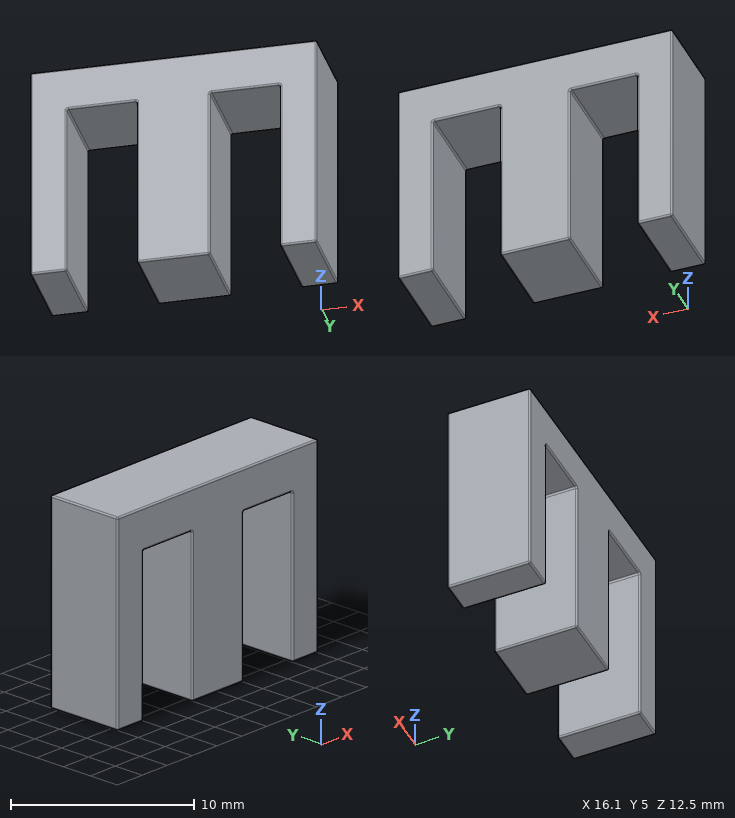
import cadquery as cq

width = 16.1
depth = 5.0
height = 12.5

outer_leg_width = 2.05
centre_leg_width = 2 * outer_leg_width
bridge_height = 2.5
edge_radius = 0.1

slot_width = (width - centre_leg_width - 2 * outer_leg_width) / 2
slot_height = height - bridge_height
slot_offset = (centre_leg_width + slot_width) / 2


def block():
    """Full block, centred in X and Y and standing on Z = 0."""
    return cq.Workplane("XY").box(width, depth, height, centered=(True, True, False))


def slot(centre_x):
    """Cutter for one slot, open at the bottom and through the full depth."""
    return (
        cq.Workplane("XY")
        .center(centre_x, 0)
        .box(slot_width, depth, slot_height, centered=(True, True, False))
    )


core = block()
for side in (-1, 1):
    core = core.cut(slot(side * slot_offset))

result = core.edges().fillet(edge_radius)